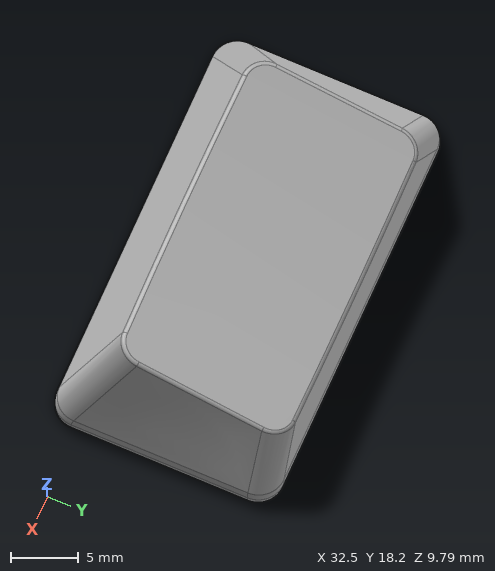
import cadquery as cq
import math

length = 32.45
width = 18.17
base_corner_radius = 2.0
skirt_height = 0.68
blend_height = 0.62

side_inset = 0.15
front_inset = 0.13
back_inset = 0.03

top_length = 25.5
top_front_y = -5.05
top_back_y = 8.63
top_front_height = 10.0
top_tilt = 15.9
top_corner_radius = 1.95
top_edge_radius = 0.32

dish_depth = 0.52
dish_span = 26.6

tilt = math.radians(top_tilt)
top_center_y = (top_front_y + top_back_y) / 2
top_center_height = top_front_height - (top_center_y - top_front_y) * math.tan(tilt)
top_width = (top_back_y - top_front_y) / math.cos(tilt)
top_plane = cq.Plane(
    origin=(0, top_center_y, top_center_height),
    xDir=(1, 0, 0),
    normal=(0, math.sin(tilt), math.cos(tilt)),
)


def rounded_outline(plane, size_x, size_y, radius):
    """Closed rectangle with equal round corners, centred on the plane."""
    x = size_x / 2
    y = size_y / 2
    bend = radius * (1 - math.sqrt(0.5))
    outline = (
        cq.Workplane(plane)
        .moveTo(radius - x, -y)
        .lineTo(x - radius, -y)
        .threePointArc((x - bend, bend - y), (x, radius - y))
        .lineTo(x, y - radius)
        .threePointArc((x - bend, y - bend), (x - radius, y))
        .lineTo(radius - x, y)
        .threePointArc((bend - x, y - bend), (-x, y - radius))
        .lineTo(-x, radius - y)
        .threePointArc((bend - x, bend - y), (radius - x, -y))
        .close()
    )
    return outline.val()


def level_outline(height, lean):
    """Horizontal outline; lean runs from 0 (upright band) to 1 (end of the blend)."""
    center_y = lean * (front_inset - back_inset) / 2
    plane = cq.Plane(origin=(0, center_y, height))
    size_x = length - 2 * lean * side_inset
    size_y = width - lean * (front_inset + back_inset)
    return rounded_outline(plane, size_x, size_y, base_corner_radius)


def make_body():
    """Upright band, curved blend and straight-ruled walls up to the tilted top."""
    foot = level_outline(0, 0)
    blend_start = level_outline(skirt_height, 0)
    blend_middle = level_outline(skirt_height + blend_height / 2, 0.25)
    blend_end = level_outline(skirt_height + blend_height, 1)
    top = rounded_outline(top_plane, top_length, top_width, top_corner_radius)

    skirt = cq.Workplane(cq.Solid.makeLoft([foot, blend_start], True))
    blend = cq.Solid.makeLoft([blend_start, blend_middle, blend_end])
    walls = cq.Solid.makeLoft([blend_end, top], True)
    return skirt.union(cq.Workplane(blend)).union(cq.Workplane(walls))


def make_dish():
    """Large cylinder running along the slope of the top."""
    radius = (dish_span ** 2 / 4 + dish_depth ** 2) / (2 * dish_depth)
    axis_height = radius - dish_depth
    start = top_plane.toWorldCoords((0, -width, axis_height))
    return cq.Workplane(cq.Solid.makeCylinder(radius, 2 * width, start, top_plane.yDir))


def round_top_edge(body):
    """Soften the rim between the dished top and the walls."""
    return body.faces("%CYLINDER").faces(">Z").edges().fillet(top_edge_radius)


result = round_top_edge(make_body().cut(make_dish()))